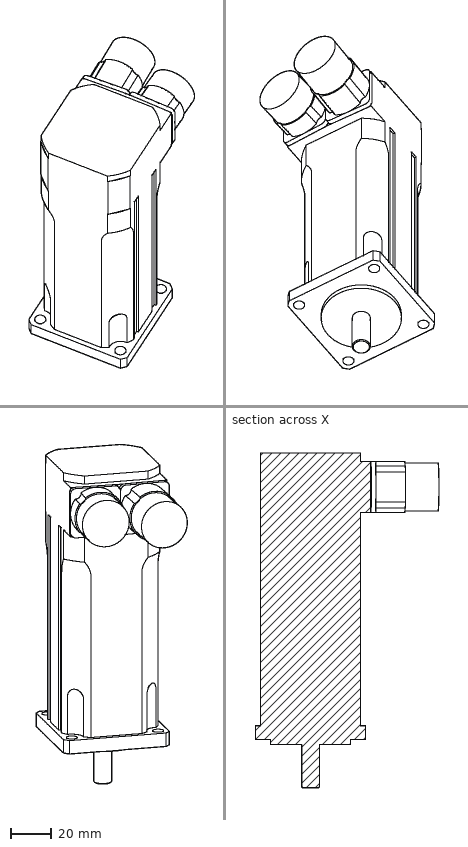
import cadquery as cq
import math


shaft_reach = 24.0
pilot_height = 2.5
flange_thickness = 7.0
pocket_dome_height = 26.2
neck_bottom = 90.5
neck_top = 98.2
block_bottom = 113.2
block_top = 138.8
overall_height = 167.0
motor_top = overall_height - shaft_reach

shaft_diameter = 9.0
shaft_chamfer = 0.5
pilot_diameter = 40.0
flange_width = 55.0
flange_corner_radius = 37.0
screw_offset = 22.4
screw_hole_diameter = 5.5
screw_pocket_radius = 6.0

body_width = 50.0
lower_corner_radius = 28.2
upper_corner_radius = 29.9
groove_offset = 9.7
groove_width = 4.2
groove_depth = 1.0

block_corner_chamfer = 8.2
rear_ridge = 30.0
splay_angle = 2.0

plate_width = block_top - block_bottom
plate_thickness = 2.5
plate_corner_radius = 2.7
barrel_diameter = 24.0
large_collar_end = 17.4
large_barrel_end = 34.0
small_collar_end = 11.7
small_barrel_end = 24.0

body_half = body_width / 2
splay = math.radians(splay_angle)
screw_points = [(sx * screw_offset, sy * screw_offset) for sx in (-1, 1) for sy in (-1, 1)]


def square_prism(width, bottom, top):
    return cq.Workplane("XY").workplane(offset=bottom).rect(width, width).extrude(top - bottom)


def disc(diameter, bottom, top):
    return cq.Workplane("XY").workplane(offset=bottom).circle(diameter / 2).extrude(top - bottom)


def make_flange():
    rounding = disc(2 * flange_corner_radius, 0, flange_thickness)
    holes = (
        cq.Workplane("XY")
        .pushPoints(screw_points)
        .circle(screw_hole_diameter / 2)
        .extrude(flange_thickness)
    )
    return square_prism(flange_width, 0, flange_thickness).intersect(rounding).cut(holes)


def make_shaft():
    shaft = disc(shaft_diameter, -shaft_reach, 0).faces("<Z").chamfer(shaft_chamfer)
    return shaft.union(disc(pilot_diameter, -pilot_height, 0))


def make_column():
    """Square column whose corners are turned round, with a concave flare between two radii."""
    flare_height = neck_top - neck_bottom
    flare_growth = upper_corner_radius - lower_corner_radius
    flare_radius = (flare_height**2 + flare_growth**2) / (2 * flare_growth)
    half_angle = math.asin(flare_height / flare_radius) / 2
    flare_middle = (
        lower_corner_radius + flare_radius * (1 - math.cos(half_angle)),
        neck_bottom + flare_radius * math.sin(half_angle),
    )
    turned = (
        cq.Workplane("XZ")
        .moveTo(0, flange_thickness)
        .lineTo(lower_corner_radius, flange_thickness)
        .lineTo(lower_corner_radius, neck_bottom)
        .threePointArc(flare_middle, (upper_corner_radius, neck_top))
        .lineTo(upper_corner_radius, motor_top)
        .lineTo(0, motor_top)
        .close()
        .revolve(360, (0, 0, 0), (0, 1, 0))
    )
    return square_prism(body_width, flange_thickness, motor_top).intersect(turned)


def make_rear_block():
    rear_side = rear_ridge - body_half * math.tan(splay)
    chamfer_start = body_half - block_corner_chamfer
    outline = [
        (-chamfer_start, -body_half),
        (chamfer_start, -body_half),
        (body_half, -chamfer_start),
        (body_half, rear_side),
        (0, rear_ridge),
        (-body_half, rear_side),
        (-body_half, -chamfer_start),
    ]
    block = cq.Workplane("XY").workplane(offset=block_bottom).polyline(outline).close()
    return block.extrude(block_top - block_bottom)


def make_screw_pockets():
    """Round-ended clearance pockets above the four flange holes."""
    shafts = (
        cq.Workplane("XY")
        .workplane(offset=flange_thickness)
        .pushPoints(screw_points)
        .circle(screw_pocket_radius)
        .extrude(pocket_dome_height - flange_thickness)
    )
    domes = (
        cq.Workplane("XY")
        .workplane(offset=pocket_dome_height)
        .pushPoints(screw_points)
        .sphere(screw_pocket_radius)
    )
    return shafts.union(domes)


def make_side_grooves():
    """Two shallow grooves on each X side, from the flange up to the rear block."""
    groove_centres = [(sx * body_half, sy * groove_offset) for sx in (-1, 1) for sy in (-1, 1)]
    return (
        cq.Workplane("XY")
        .workplane(offset=flange_thickness)
        .pushPoints(groove_centres)
        .rect(2 * groove_depth, groove_width)
        .extrude(block_bottom - flange_thickness)
    )


def make_housing():
    column = make_column().cut(make_screw_pockets()).cut(make_side_grooves())
    column = column.cut(square_prism(body_width, block_bottom, block_top))
    return column.union(make_rear_block()).union(make_flange()).union(make_shaft())


def make_connector(side, collar_end, barrel_end):
    """Connector on the rear half at side = -1 (-X) or +1 (+X), its axis splayed outward."""
    base_centre = cq.Vector(
        side * plate_width / 2 * math.cos(splay),
        rear_ridge - plate_width / 2 * math.sin(splay),
        (block_bottom + block_top) / 2,
    )
    outward = cq.Vector(side * math.sin(splay), math.cos(splay), 0)
    across = cq.Vector(math.cos(splay), -side * math.sin(splay), 0)
    base = cq.Workplane(cq.Plane(base_centre, across, outward))

    plate = (
        base.rect(plate_width, plate_width)
        .extrude(plate_thickness)
        .edges(cq.selectors.ParallelDirSelector(outward))
        .fillet(plate_corner_radius)
    )
    notch_pitch = plate_width - 2 * plate_corner_radius
    notches = (
        base.workplane(offset=plate_thickness)
        .rect(notch_pitch, notch_pitch, forConstruction=True)
        .vertices()
        .circle(plate_corner_radius)
        .extrude(collar_end - plate_thickness)
    )
    collar = base.circle(plate_width / 2).extrude(collar_end).cut(notches)
    barrel = (
        base.workplane(offset=collar_end)
        .circle(barrel_diameter / 2)
        .extrude(barrel_end - collar_end)
    )
    return plate.union(collar).union(barrel)


housing = make_housing()
large_connector = make_connector(-1, large_collar_end, large_barrel_end)
small_connector = make_connector(1, small_collar_end, small_barrel_end)

result = cq.Compound.makeCompound(
    [housing.solids().val(), large_connector.solids().val(), small_connector.solids().val()]
)